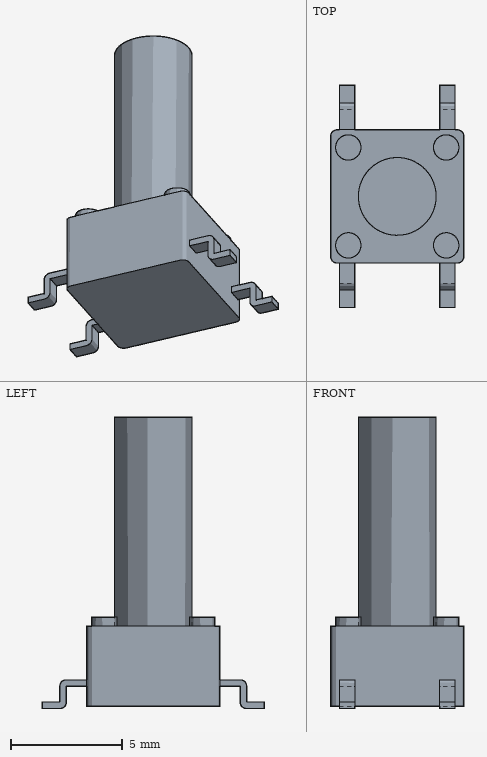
import cadquery as cq

total_height = 13.1
lead_span = 10.0

body_side = 6.0
body_height = 3.6
body_base = 0.1
body_corner_radius = 0.3
body_top = body_base + body_height

button_diameter = 3.5
rivet_diameter = 1.14
rivet_height = 0.4
rivet_spacing = 4.4

lead_width = 0.71
lead_thickness = 0.3
lead_spacing = 4.5
lead_top = 1.3
lead_shank_outer = 4.2
bend_outer_radius = 0.29
lead_embed = 0.13


def make_body():
    """Square housing with rounded vertical edges."""
    return (
        cq.Workplane("XY", origin=(0, 0, body_base))
        .rect(body_side, body_side)
        .extrude(body_height)
        .edges("|Z")
        .fillet(body_corner_radius)
    )


def make_button():
    """Cylindrical push button reaching the full height."""
    return (
        cq.Workplane("XY", origin=(0, 0, body_top))
        .circle(button_diameter / 2)
        .extrude(total_height - body_top)
    )


def make_rivets():
    """Rivet heads on the four corners of the housing."""
    return (
        cq.Workplane("XY", origin=(0, 0, body_top))
        .rect(rivet_spacing, rivet_spacing, forConstruction=True)
        .vertices()
        .circle(rivet_diameter / 2)
        .extrude(rivet_height)
    )


def make_lead(x_center):
    """Z-bent lead on the +Y side: out of the housing, down, then outward as a foot."""
    root = body_side / 2 - lead_embed
    tip = lead_span / 2
    shank_inner = lead_shank_outer - lead_thickness
    lead = (
        cq.Workplane("YZ", origin=(x_center - lead_width / 2, 0, 0))
        .moveTo(root, lead_top)
        .lineTo(lead_shank_outer, lead_top)
        .lineTo(lead_shank_outer, lead_thickness)
        .lineTo(tip, lead_thickness)
        .lineTo(tip, 0)
        .lineTo(shank_inner, 0)
        .lineTo(shank_inner, lead_top - lead_thickness)
        .lineTo(root, lead_top - lead_thickness)
        .close()
        .extrude(lead_width)
    )
    for y, z in ((lead_shank_outer, lead_top), (shank_inner, 0)):
        bend_edge = cq.selectors.NearestToPointSelector((x_center, y, z))
        lead = lead.edges("|X").edges(bend_edge).fillet(bend_outer_radius)
    return lead


result = make_body().union(make_button()).union(make_rivets())
for x_center in (-lead_spacing / 2, lead_spacing / 2):
    lead = make_lead(x_center)
    result = result.union(lead).union(lead.mirror("XZ"))